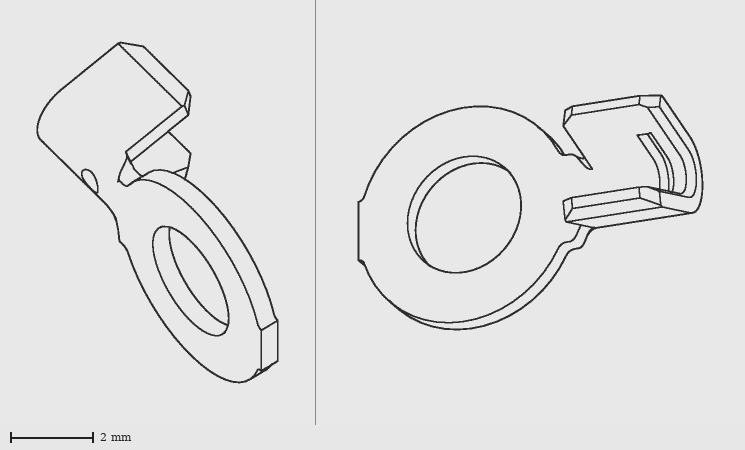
import cadquery as cq
import math


total_length = 8.89
total_depth = 3.05
sheet = 0.51

ring_diameter = 5.58
hole_diameter = 3.005
ring_center_x = 6.09
tab_half_width = 0.765
tab_fillet = 0.15
lug_start_x = 3.3
neck_half_width = 1.14
neck_fillet = 0.25
neck_steps = 4
corner_margin = 0.09

barrel_length = 2.53
bend_outer_radius = 1.02
bend_inner_radius = bend_outer_radius - sheet
leg_angle = math.radians(15)

tip_thickness = 0.27
tip_bevel_length = 0.445
corner_clip = 0.37

entry_chamfer_depth = 0.125
entry_chamfer_length = 0.21
groove_center_x = 0.73
groove_width = 0.365
groove_depth = 0.125
groove_end_from_tip = 1.19
dimple_x = 2.09
dimple_diameter = 0.64
dimple_depth = 0.37

leg_sin = math.sin(leg_angle)
leg_cos = math.cos(leg_angle)
leg_length = (total_depth - bend_outer_radius + bend_inner_radius * leg_sin) / leg_cos


def leg_point(side, along, radius):
    """(Y, Z) of a point on a leg: `along` from the bend, `radius` from the bend axis."""
    y = bend_outer_radius - radius * leg_sin + along * leg_cos
    z = radius * leg_cos + along * leg_sin
    return (y, side * z)


def bend_bottom(radius):
    """(Y, Z) of the lowest point of the bend at the given radius."""
    return (bend_outer_radius - radius, 0)


def inner_corners(x_min, x_max):
    """Selector for the edges through the sheet where the strip meets the ring, between two X positions."""
    near_ring = cq.selectors.BoxSelector(
        (x_min + corner_margin, -sheet, -ring_diameter), (x_max - corner_margin, 2 * sheet, ring_diameter)
    )
    return cq.selectors.AndSelector(cq.selectors.ParallelDirSelector(cq.Vector(0, 1, 0)), near_ring)


def make_lug():
    """Ring with a square tab on the far side, a neck strip on the near side and a through hole."""
    strip = (
        cq.Workplane("XZ")
        .moveTo(lug_start_x, -neck_half_width)
        .lineTo(ring_center_x, -neck_half_width)
        .lineTo(ring_center_x, -tab_half_width)
        .lineTo(total_length, -tab_half_width)
        .lineTo(total_length, tab_half_width)
        .lineTo(ring_center_x, tab_half_width)
        .lineTo(ring_center_x, neck_half_width)
        .lineTo(lug_start_x, neck_half_width)
        .close()
        .extrude(-sheet)
    )
    ring_center = cq.Workplane("XZ").center(ring_center_x, 0)
    disc = ring_center.circle(ring_diameter / 2).extrude(-sheet)
    hole = ring_center.circle(hole_diameter / 2).extrude(-sheet)
    lug = disc.union(strip)
    lug = lug.edges(inner_corners(lug_start_x, ring_center_x)).fillet(neck_fillet)
    lug = lug.edges(inner_corners(ring_center_x, total_length)).fillet(tab_fillet)
    return lug.cut(hole)


def make_barrel():
    """Bent sheet with two straight legs, bevelled on the outside of each tip."""
    bevel_start = leg_length - tip_bevel_length
    tip_radius = bend_inner_radius + tip_thickness
    return (
        cq.Workplane("YZ")
        .moveTo(*leg_point(-1, 0, bend_outer_radius))
        .threePointArc(bend_bottom(bend_outer_radius), leg_point(1, 0, bend_outer_radius))
        .lineTo(*leg_point(1, bevel_start, bend_outer_radius))
        .lineTo(*leg_point(1, leg_length, tip_radius))
        .lineTo(*leg_point(1, leg_length, bend_inner_radius))
        .lineTo(*leg_point(1, 0, bend_inner_radius))
        .threePointArc(bend_bottom(bend_inner_radius), leg_point(-1, 0, bend_inner_radius))
        .lineTo(*leg_point(-1, leg_length, bend_inner_radius))
        .lineTo(*leg_point(-1, leg_length, tip_radius))
        .lineTo(*leg_point(-1, bevel_start, bend_outer_radius))
        .close()
        .extrude(barrel_length)
    )


def make_tip_clips(side):
    """Triangular prisms, square to the sheet, that clip both end corners of one leg at 45 degrees."""
    tip_y, tip_z = leg_point(side, leg_length, bend_outer_radius)
    leg_plane = cq.Plane(
        origin=(0, tip_y, tip_z), xDir=(1, 0, 0), normal=(0, -side * leg_sin, leg_cos)
    )
    clips = cq.Workplane(leg_plane)
    for end_x, inward in ((0, 1), (barrel_length, -1)):
        clip = (
            cq.Workplane(leg_plane)
            .moveTo(end_x, 0)
            .lineTo(end_x + inward * corner_clip, 0)
            .lineTo(end_x, -corner_clip)
            .close()
            .extrude(2 * sheet, both=True)
        )
        clips = clips.add(clip)
    return clips.combine()


def sweep_along_channel(section, along):
    """Sweep an (X, depth into sheet) section round the inside of the barrel, out to `along` on the legs."""
    start_y, start_z = leg_point(-1, along, bend_inner_radius)
    path = (
        cq.Workplane("YZ")
        .moveTo(start_y, start_z)
        .lineTo(*leg_point(-1, 0, bend_inner_radius))
        .threePointArc(bend_bottom(bend_inner_radius), leg_point(1, 0, bend_inner_radius))
        .lineTo(*leg_point(1, along, bend_inner_radius))
    )
    start_plane = cq.Plane(
        origin=(0, start_y, start_z), xDir=(1, 0, 0), normal=(0, -leg_cos, leg_sin)
    )
    points = [(x, -depth) for x, depth in section]
    return cq.Workplane(start_plane).polyline(points).close().sweep(path)


def blend(start, end, share):
    """Point at the given share of the way between two (Y, Z) points."""
    return tuple(a + (b - a) * share for a, b in zip(start, end))


def make_neck():
    """Transition that gradually unrolls the bent barrel section into the flat lug section."""
    neck_length = lug_start_x - barrel_length
    neck = cq.Workplane("YZ").workplane(offset=barrel_length)
    for step in range(neck_steps):
        progress = step / neck_steps
        share = progress**2 * (3 - 2 * progress)
        outer_y, outer_z = blend(
            leg_point(1, 0, bend_outer_radius), (0, neck_half_width), share
        )
        inner_y, inner_z = blend(
            leg_point(1, 0, bend_inner_radius), (sheet, neck_half_width), share
        )
        neck = (
            neck.moveTo(outer_y, -outer_z)
            .threePointArc(bend_bottom(bend_outer_radius), (outer_y, outer_z))
            .lineTo(inner_y, inner_z)
            .threePointArc(bend_bottom(bend_inner_radius), (inner_y, -inner_z))
            .close()
            .workplane(offset=neck_length / neck_steps)
        )
    return (
        neck.moveTo(0, -neck_half_width)
        .lineTo(0, neck_half_width)
        .lineTo(sheet, neck_half_width)
        .lineTo(sheet, -neck_half_width)
        .close()
        .loft(ruled=False, combine=True)
    )


def make_dimple():
    """Blind round recess in the front of the barrel."""
    return cq.Workplane("XZ").center(dimple_x, 0).circle(dimple_diameter / 2).extrude(-dimple_depth)


entry_chamfer = sweep_along_channel(
    [(0, 0), (entry_chamfer_length, 0), (0, entry_chamfer_depth)], leg_length
)
wire_groove = sweep_along_channel(
    [
        (groove_center_x - groove_width / 2, 0),
        (groove_center_x + groove_width / 2, 0),
        (groove_center_x, groove_depth),
    ],
    leg_length - groove_end_from_tip,
)

barrel = make_barrel().cut(entry_chamfer).cut(wire_groove).cut(make_dimple())
for side in (-1, 1):
    barrel = barrel.cut(make_tip_clips(side))
result = barrel.union(make_neck()).union(make_lug())